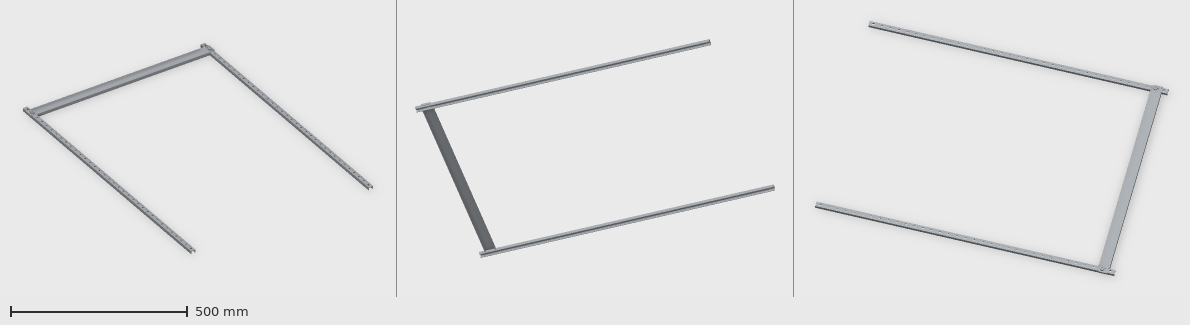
import cadquery as cq

sheet = 1.5

rail_length = 875.0
rail_width = 15.0
rail_height = 10.0
rail_spacing = 600.0
hole_pitch = 25.0
hole_count = int(rail_length / hole_pitch)
rail_hole_diameter = 5.2
end_hole_diameter = 7.0

rail_gap = 1.0
bar_width = 32.0
bar_length = rail_spacing - rail_width - 2 * rail_gap
bar_center_x = 33.5
bar_bottom = 1.0
bar_top = rail_height + sheet
bar_height = bar_top - bar_bottom
bar_edge_radius = 0.5

tongue_width = 26.0
tongue_center_x = 32.5
tongue_start = bar_length / 2
tongue_end = (rail_spacing + rail_width) / 2 + rail_gap + sheet
lip_bottom = 4.0
lip_corner_radius = 3.0
spare_hole_diameter = 7.0
spare_hole_x = 29.0

screw_x = 1.5 * hole_pitch
screw_top = 16.5
screw_head_diameter = 12.0
shank_diameter = rail_hole_diameter
shank_bottom = 4.0
socket_width_across_corners = 6.0
socket_depth = 3.0

SIDES = (-1, 1)


def make_channel(size_x, size_y, height, inner_x, inner_y):
    """Block standing on Z = 0, hollowed from below to leave a top of one sheet thickness."""
    low_center = (True, True, False)
    outside = cq.Workplane("XY").box(size_x, size_y, height, centered=low_center)
    inside = cq.Workplane("XY").box(inner_x, inner_y, height - sheet, centered=low_center)
    return outside.cut(inside)


def make_rail(side):
    """Channel with a row of holes in its web, the first and last of them larger."""
    rail = make_channel(rail_length, rail_width, rail_height, rail_length, rail_width - 2 * sheet)
    rail = rail.translate((rail_length / 2, 0, 0))
    for i in range(hole_count):
        is_end = i in (0, hole_count - 1)
        diameter = end_hole_diameter if is_end else rail_hole_diameter
        hole = cq.Workplane("XY").center((i + 0.5) * hole_pitch, 0).circle(diameter / 2).extrude(rail_height)
        rail = rail.cut(hole)
    return rail.translate((0, side * rail_spacing / 2, 0))


def make_bar_channel():
    """Middle of the crossbar: a channel with both long top edges rounded."""
    channel = make_channel(bar_width, bar_length, bar_height, bar_width - 2 * sheet, bar_length)
    channel = channel.edges("|Y and >Z").edges("<X or >X").fillet(bar_edge_radius)
    return channel.translate((bar_center_x, 0, bar_bottom))


def make_tongue(side):
    """Flat tongue with a bent-down lip, a spare hole and a screw hole."""
    beside_y = (True, False, False)
    plate = cq.Workplane("XY").box(tongue_width, tongue_end - tongue_start, sheet, centered=beside_y)
    plate = plate.translate((tongue_center_x, tongue_start, rail_height))
    lip = cq.Workplane("XY").box(tongue_width, sheet, bar_top - lip_bottom, centered=beside_y)
    lip = lip.edges("|Y and <Z").fillet(lip_corner_radius)
    lip = lip.translate((tongue_center_x, tongue_end - sheet, lip_bottom))
    tongue = plate.union(lip)
    for x, diameter in ((spare_hole_x, spare_hole_diameter), (screw_x, shank_diameter)):
        hole = cq.Workplane("XY").center(x, rail_spacing / 2).circle(diameter / 2).extrude(bar_top)
        tongue = tongue.cut(hole)
    return tongue if side > 0 else tongue.mirror("XZ")


def make_crossbar():
    """Channel with a tongue at each end, as one piece."""
    bar = make_bar_channel()
    for side in SIDES:
        bar = bar.union(make_tongue(side))
    return bar


def make_screw(side):
    """Round-headed hexagon socket screw standing on the tongue, its shank reaching into the rail."""
    shank = cq.Workplane("XY").workplane(offset=shank_bottom)
    shank = shank.circle(shank_diameter / 2).extrude(bar_top - shank_bottom)
    head = cq.Workplane("XY").workplane(offset=bar_top)
    head = head.circle(screw_head_diameter / 2).extrude(screw_top - bar_top)
    socket = cq.Workplane("XY").workplane(offset=screw_top - socket_depth)
    socket = socket.polygon(6, socket_width_across_corners).extrude(socket_depth)
    screw = head.union(shank).cut(socket)
    return screw.translate((screw_x, side * rail_spacing / 2, 0))


rails = [make_rail(side) for side in SIDES]
crossbar = make_crossbar()
screws = [make_screw(side) for side in SIDES]

bodies = [*rails, crossbar, *screws]
result = cq.Compound.makeCompound([body.solids().val() for body in bodies])